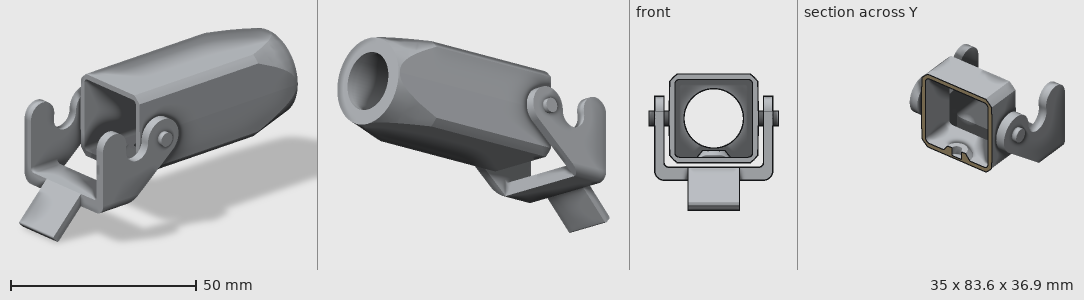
import cadquery as cq
import math


HOUSING_LENGTH = 57.0
HOUSING_WIDTH = 24.2
HOUSING_HEIGHT = 24.0
SIDE_DRAFT_DEG = 1.0
CORNER_RADIUS = 15.55
NOSE_LENGTH = 14.2
CAVITY_WIDTH = 21.0
CAVITY_CORNER_RADIUS = 1.2
CAVITY_DEPTH = HOUSING_LENGTH - NOSE_LENGTH
BORE_DIAMETER = 16.0

BOSS_BASE_DIAMETER = 9.0
BOSS_TOP_DIAMETER = 6.1
BOSS_HEIGHT = 1.8
BOSS_Y = 10.6
SCREW_HOLE_DIAMETER = 3.05
SCREW_HOLE_DEPTH = 2.5

PIN_DIAMETER = 4.0
PIN_SPAN = 35.0
PIN_Y = 5.0
LEVER_WIDTH = 32.0
ARM_THICKNESS = 2.6
EYE_RADIUS = 5.5
NOTCH_RADIUS = 4.0
KNOB_RADIUS = 4.2
KNOB_Z = 1.8
LEVER_BOTTOM_Z = -16.75
HEEL_Y = -7.2
WEB_THICKNESS = 3.6
BEND_OUTER_RADIUS = 2.7
BEND_INNER_RADIUS = 1.2

TAB_WIDTH = 14.0
TAB_REACH = 10.11
TAB_TIP_RADIUS = 0.5

half_width = HOUSING_WIDTH / 2
half_height = HOUSING_HEIGHT / 2
cavity_floor_z = -CAVITY_WIDTH / 2
notch_y = PIN_Y - EYE_RADIUS - NOTCH_RADIUS
notch_to_knob = NOTCH_RADIUS + KNOB_RADIUS
knob_y = notch_y - math.sqrt(notch_to_knob**2 - KNOB_Z**2)
lever_end_y = knob_y - KNOB_RADIUS
web_top_z = LEVER_BOTTOM_Z + WEB_THICKNESS
arm_inner_x = LEVER_WIDTH / 2 - ARM_THICKNESS


def make_housing_shell():
    """Square bar with drafted sides, rounded and tapered to a circle by a turned envelope."""
    side_inset = half_height * math.tan(math.radians(SIDE_DRAFT_DEG))
    bar = (
        cq.Workplane("XZ")
        .moveTo(half_width, 0)
        .lineTo(half_width - side_inset, half_height)
        .lineTo(side_inset - half_width, half_height)
        .lineTo(-half_width, 0)
        .lineTo(side_inset - half_width, -half_height)
        .lineTo(half_width - side_inset, -half_height)
        .close()
        .extrude(-HOUSING_LENGTH)
    )
    envelope = (
        cq.Workplane("XY")
        .lineTo(CORNER_RADIUS, 0)
        .lineTo(CORNER_RADIUS, HOUSING_LENGTH - NOSE_LENGTH)
        .lineTo(half_height, HOUSING_LENGTH)
        .lineTo(0, HOUSING_LENGTH)
        .close()
        .revolve(360, (0, 0, 0), (0, 1, 0))
    )
    return bar.intersect(envelope)


def make_cavity():
    """Square socket from the open end, with a round bore on through the nose."""
    socket = (
        cq.Workplane("XZ")
        .rect(CAVITY_WIDTH, CAVITY_WIDTH)
        .extrude(-CAVITY_DEPTH)
        .edges("|Y")
        .fillet(CAVITY_CORNER_RADIUS)
    )
    bore = cq.Workplane("XZ").circle(BORE_DIAMETER / 2).extrude(-HOUSING_LENGTH)
    return socket.union(bore)


def make_screw_boss():
    """Conical boss standing on the cavity floor."""
    return (
        cq.Workplane("XY", origin=(0, BOSS_Y, cavity_floor_z))
        .circle(BOSS_BASE_DIAMETER / 2)
        .workplane(offset=BOSS_HEIGHT)
        .circle(BOSS_TOP_DIAMETER / 2)
        .loft()
    )


def make_screw_hole():
    """Blind hole down from the top of the boss."""
    return (
        cq.Workplane("XY", origin=(0, BOSS_Y, cavity_floor_z + BOSS_HEIGHT))
        .circle(SCREW_HOLE_DIAMETER / 2)
        .extrude(-SCREW_HOLE_DEPTH)
    )


def make_lever_side_plate():
    """Side outline of the arms, extruded over the full lever width."""
    eye_to_heel = math.hypot(HEEL_Y - PIN_Y, LEVER_BOTTOM_Z)
    heel_angle = math.atan2(LEVER_BOTTOM_Z, HEEL_Y - PIN_Y)
    tangent_angle = heel_angle + math.acos(EYE_RADIUS / eye_to_heel)
    eye_tangent = (
        PIN_Y + EYE_RADIUS * math.cos(tangent_angle),
        EYE_RADIUS * math.sin(tangent_angle),
    )
    knob_touch = (
        notch_y + (knob_y - notch_y) * NOTCH_RADIUS / notch_to_knob,
        KNOB_Z * NOTCH_RADIUS / notch_to_knob,
    )
    return (
        cq.Workplane("YZ", origin=(-LEVER_WIDTH / 2, 0, 0))
        .moveTo(HEEL_Y, LEVER_BOTTOM_Z)
        .lineTo(lever_end_y, LEVER_BOTTOM_Z)
        .lineTo(lever_end_y, KNOB_Z)
        .threePointArc((knob_y, KNOB_Z + KNOB_RADIUS), knob_touch)
        .threePointArc((notch_y, -NOTCH_RADIUS), (notch_y + NOTCH_RADIUS, 0))
        .threePointArc((PIN_Y, EYE_RADIUS), eye_tangent)
        .close()
        .extrude(LEVER_WIDTH)
    )


def make_lever():
    """U-shaped lever: two hooked arms joined by a web at the bottom."""
    bend_height = KNOB_Z + 2 * KNOB_RADIUS - LEVER_BOTTOM_Z
    lever_length = 2 * (PIN_Y + EYE_RADIUS - lever_end_y)
    bend = (
        cq.Workplane("XY", origin=(0, 0, LEVER_BOTTOM_Z))
        .box(LEVER_WIDTH, lever_length, bend_height, centered=(True, True, False))
        .edges("|Y and <Z")
        .fillet(BEND_OUTER_RADIUS)
    )
    web_length = HEEL_Y - lever_end_y
    gap_over_web = (
        cq.Workplane("XY", origin=(0, lever_end_y, web_top_z))
        .box(2 * arm_inner_x, web_length, bend_height, centered=(True, False, False))
        .edges("|Y and <Z")
        .fillet(BEND_INNER_RADIUS)
    )
    gap_past_web = cq.Workplane("XY", origin=(0, HEEL_Y, LEVER_BOTTOM_Z)).box(
        2 * arm_inner_x, lever_length, bend_height, centered=(True, False, False)
    )
    return make_lever_side_plate().intersect(bend).cut(gap_over_web).cut(gap_past_web)


def make_finger_tab():
    """Flat tab running down at 45 degrees from the end of the web."""
    tip_y = lever_end_y - TAB_REACH
    tip_z = web_top_z - TAB_REACH
    half_step = WEB_THICKNESS / 2
    return (
        cq.Workplane("YZ", origin=(-TAB_WIDTH / 2, 0, 0))
        .moveTo(lever_end_y, web_top_z)
        .lineTo(tip_y, tip_z)
        .lineTo(tip_y + half_step, tip_z - half_step)
        .lineTo(lever_end_y, LEVER_BOTTOM_Z)
        .close()
        .extrude(TAB_WIDTH)
        .edges("|X")
        .edges("<Y or <Z")
        .fillet(TAB_TIP_RADIUS)
    )


def make_pin(side):
    """Pivot pin from inside the housing wall out through one arm."""
    root_x = (HOUSING_WIDTH + CAVITY_WIDTH) / 4
    return (
        cq.Workplane("YZ", origin=(side * root_x, PIN_Y, 0))
        .circle(PIN_DIAMETER / 2)
        .extrude(side * (PIN_SPAN / 2 - root_x))
    )


result = make_housing_shell().cut(make_cavity())
result = result.union(make_screw_boss()).cut(make_screw_hole())
result = result.union(make_lever()).union(make_finger_tab())
for side in (-1, 1):
    result = result.union(make_pin(side))